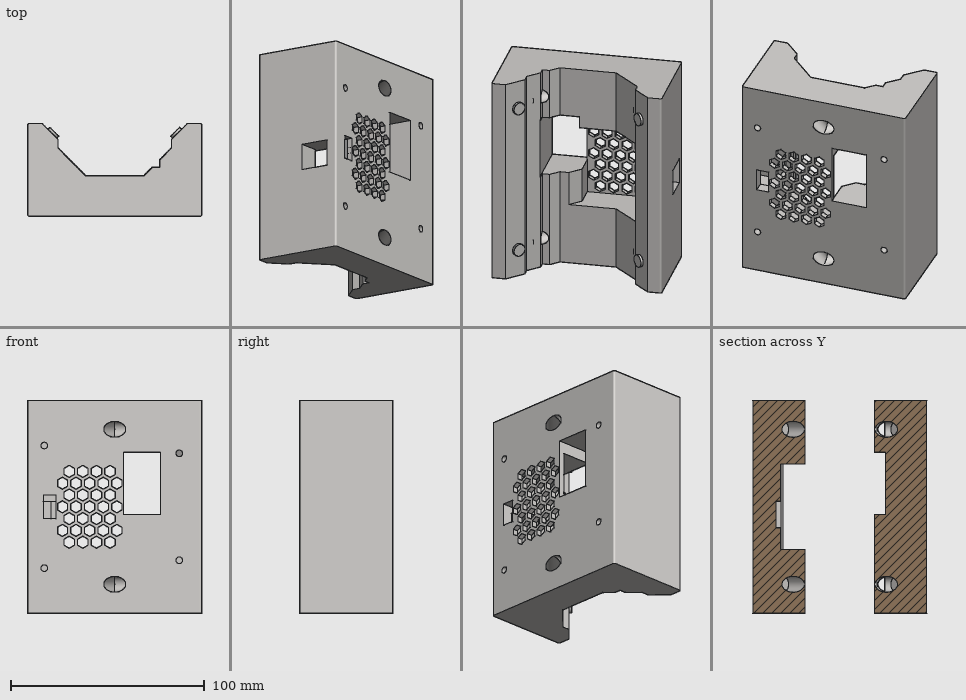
import cadquery as cq
import math

WIDTH = 90.0
DEPTH = 48.1
HEIGHT = 110.0
FRONT = -DEPTH / 2
BACK = DEPTH / 2
LEFT = -WIDTH / 2
CORNER_RADIUS = 1.0

RECESS_FLOOR_THICKNESS = 21.0
RECESS_FLOOR_HALF_WIDTH = 14.8
RECESS_STEP_HALF_WIDTH = 29.3
RECESS_MOUTH_HALF_WIDTH = 37.6
RECESS_FLOOR_Y = FRONT + RECESS_FLOOR_THICKNESS
FACE_WIDTH = RECESS_MOUTH_HALF_WIDTH - RECESS_STEP_HALF_WIDTH
STEP_TOP_Y = BACK - FACE_WIDTH
STEP_BOTTOM_Y = RECESS_FLOOR_Y + RECESS_STEP_HALF_WIDTH - RECESS_FLOOR_HALF_WIDTH

GROOVE_SIDE = 4.0
GROOVE_RIGHT = 23.2
GROOVE_FLOOR_Y = 1.4

MOUNT_Z = 40.0
PEG_DIAMETER = 6.6
PEG_LENGTH = 1.4
PEG_SINK = 0.5
PEG_INSET = 3.0
BORE_DIAMETER = 8.0
BORE_REACH_X = RECESS_STEP_HALF_WIDTH

FRONT_WALL = 3.0
CAVITY_CENTRE_X = -13.0
CAVITY_WIDTH = 34.8
CAVITY_HEIGHT = 44.0
CAVITY_BACK_Y = 13.2
CAVITY_RIGHT = CAVITY_CENTRE_X + CAVITY_WIDTH / 2
CAVITY_LEFT = CAVITY_CENTRE_X - CAVITY_WIDTH / 2
CAVITY_RELIEF_Y = -8.8

HEX_ACROSS_FLATS = 5.3
HEX_PITCH = 7.0
HEX_ROWS = 7
HEX_LONG_ROW = 5

WINDOW_LEFT = 4.6
WINDOW_RIGHT = 23.5
WINDOW_BOTTOM = -3.8
WINDOW_TOP = 28.2

SOCKET_FRONT_Y = -18.3
SOCKET_BACK_Y = -2.9
SOCKET_BOTTOM = -10.8
SOCKET_TOP = 2.7
SOCKET_DEPTH = 12.1
PASSAGE_BACK_Y = 8.8
SLOT_LEFT = -36.8
SLOT_HALF_HEIGHT = 6.0
SLOT_DEPTH = 8.8

SCREW_DIAMETER = 3.4
SCREW_DEPTH = 11.0
LEFT_SCREW_X = -36.4
LEFT_SCREW_Z = 31.7
RIGHT_SCREW_X = 33.3
RIGHT_SCREW_Z = 27.6

FULL_HEIGHT = (-HEIGHT / 2, HEIGHT / 2)


def box(x_range, y_range, z_range):
    """Axis-aligned box given by its lower and upper limits on each axis."""
    sizes = [high - low for low, high in (x_range, y_range, z_range)]
    corner = (x_range[0], y_range[0], z_range[0])
    return cq.Workplane("XY").box(*sizes, centered=False).translate(corner)


def prism(points, z_range):
    """Closed XY outline extruded between two heights."""
    outline = cq.Workplane("XY").workplane(offset=z_range[0]).polyline(points).close()
    return outline.extrude(z_range[1] - z_range[0])


def rod(start, direction, diameter, length):
    """Solid cylinder from a start point along a direction."""
    return cq.Workplane(
        cq.Solid.makeCylinder(diameter / 2, length, cq.Vector(*start), cq.Vector(*direction))
    )


def make_block():
    """Block with rounded upright edges and the stepped recess and groove in its back."""
    block = cq.Workplane("XY").box(WIDTH, DEPTH, HEIGHT).edges("|Z").fillet(CORNER_RADIUS)
    right_side = [
        (RECESS_FLOOR_HALF_WIDTH, RECESS_FLOOR_Y),
        (RECESS_STEP_HALF_WIDTH, STEP_BOTTOM_Y),
        (RECESS_STEP_HALF_WIDTH, STEP_TOP_Y),
        (RECESS_MOUTH_HALF_WIDTH, BACK),
    ]
    left_side = [(-x, y) for x, y in reversed(right_side)]
    recess = prism(right_side + left_side, FULL_HEIGHT)
    groove = box(
        (GROOVE_RIGHT - GROOVE_SIDE, GROOVE_RIGHT),
        (GROOVE_FLOOR_Y, GROOVE_FLOOR_Y + GROOVE_SIDE),
        FULL_HEIGHT,
    )
    return block.cut(recess).cut(groove)


def make_cavity():
    """Cavity open to the recess, with a 45 degree relief on its right wall."""
    z_range = (-CAVITY_HEIGHT / 2, CAVITY_HEIGHT / 2)
    cavity = box((CAVITY_LEFT, CAVITY_RIGHT), (FRONT + FRONT_WALL, CAVITY_BACK_Y), z_range)
    relief_size = RECESS_FLOOR_Y - CAVITY_RELIEF_Y
    relief = prism(
        [
            (CAVITY_RIGHT, CAVITY_RELIEF_Y),
            (CAVITY_RIGHT + relief_size, RECESS_FLOOR_Y),
            (CAVITY_RIGHT, RECESS_FLOOR_Y),
        ],
        z_range,
    )
    return cavity.union(relief)


def make_grille():
    """Hexagonal holes with upright flats, in rows that alternate short and long."""
    row_pitch = HEX_PITCH * math.sqrt(3) / 2
    centres = []
    for row in range(HEX_ROWS):
        count = HEX_LONG_ROW - 1 + row % 2
        z = (row - (HEX_ROWS - 1) / 2) * row_pitch
        for column in range(count):
            x = CAVITY_CENTRE_X + (column - (count - 1) / 2) * HEX_PITCH
            centres.append((z, x))
    across_points = HEX_ACROSS_FLATS / math.cos(math.pi / 6)
    plane = cq.Plane(origin=(0, FRONT, 0), xDir=(0, 0, 1), normal=(0, 1, 0))
    return cq.Workplane(plane).pushPoints(centres).polygon(6, across_points).extrude(FRONT_WALL)


def make_socket():
    """Side pocket, its passage into the cavity and the front slot over both."""
    socket_z = (SOCKET_BOTTOM, SOCKET_TOP)
    pocket_end = LEFT + SOCKET_DEPTH
    pocket = box((LEFT, pocket_end), (SOCKET_FRONT_Y, SOCKET_BACK_Y), socket_z)
    passage = box((pocket_end, CAVITY_LEFT), (SOCKET_FRONT_Y, PASSAGE_BACK_Y), socket_z)
    slot = box(
        (SLOT_LEFT, CAVITY_LEFT),
        (FRONT, FRONT + SLOT_DEPTH),
        (-SLOT_HALF_HEIGHT, SLOT_HALF_HEIGHT),
    )
    return pocket.union(passage).union(slot)


def make_screw_holes():
    """Four blind holes; the end of the upper right one is cut off at 45 degrees."""
    holes = cq.Workplane("XY")
    for x, z_offset in ((LEFT_SCREW_X, LEFT_SCREW_Z), (RIGHT_SCREW_X, RIGHT_SCREW_Z)):
        for z in (-z_offset, z_offset):
            holes = holes.add(rod((x, FRONT, z), (0, 1, 0), SCREW_DIAMETER, SCREW_DEPTH))
    end_y = FRONT + SCREW_DEPTH
    radius = SCREW_DIAMETER / 2
    slanted_end = prism(
        [
            (RIGHT_SCREW_X - radius, end_y),
            (RIGHT_SCREW_X + radius, end_y),
            (RIGHT_SCREW_X + radius, end_y - SCREW_DIAMETER),
        ],
        (RIGHT_SCREW_Z - radius, RIGHT_SCREW_Z + radius),
    )
    return holes.combine().cut(slanted_end)


def make_bores():
    """Pairs of blind bores whose axes cross on the front face and run back at 45 degrees."""
    lead = BORE_DIAMETER
    length = (lead + BORE_REACH_X) * math.sqrt(2)
    bores = cq.Workplane("XY")
    for z in (-MOUNT_Z, MOUNT_Z):
        for side in (-1, 1):
            start = (-side * lead, FRONT - lead, z)
            bores = bores.add(rod(start, (side, 1, 0), BORE_DIAMETER, length))
    return bores.combine()


def make_pegs():
    """Round pegs standing on the slanted faces at the mouth of the recess."""
    axis_x = RECESS_STEP_HALF_WIDTH + PEG_INSET
    axis_y = STEP_TOP_Y + PEG_INSET
    pegs = cq.Workplane("XY")
    for z in (-MOUNT_Z, MOUNT_Z):
        for side in (-1, 1):
            start = (side * (axis_x + PEG_SINK), axis_y - PEG_SINK, z)
            length = PEG_LENGTH + PEG_SINK * math.sqrt(2)
            pegs = pegs.add(rod(start, (-side, 1, 0), PEG_DIAMETER, length))
    return pegs.combine()


def make_window():
    """Window through the whole depth, open sideways into the cavity behind the front wall."""
    opening = box((WINDOW_LEFT, WINDOW_RIGHT), (FRONT, BACK), (WINDOW_BOTTOM, WINDOW_TOP))
    side_opening = box(
        (CAVITY_RIGHT, WINDOW_LEFT),
        (FRONT + FRONT_WALL, BACK),
        (WINDOW_BOTTOM, CAVITY_HEIGHT / 2),
    )
    return opening.union(side_opening)


result = (
    make_block()
    .cut(make_cavity())
    .cut(make_grille())
    .cut(make_window())
    .cut(make_socket())
    .cut(make_screw_holes())
    .cut(make_bores())
    .union(make_pegs())
)